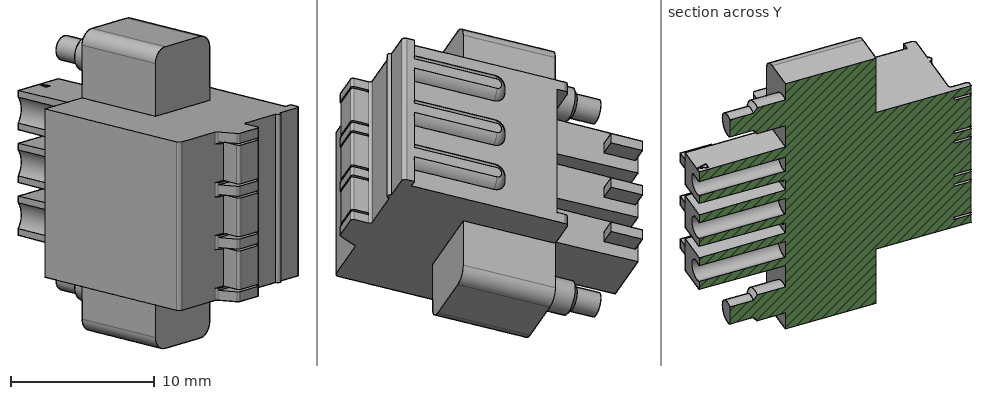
import cadquery as cq
import math


POLES = 3
PITCH = 3.82
CONTACT_Z = [PITCH * (i - (POLES - 1) / 2) for i in range(POLES)]
GAP_Z = [(low + high) / 2 for low, high in zip(CONTACT_Z, CONTACT_Z[1:])]

TOTAL_Z = 21.82
BODY_X = 12.72
BODY_Z = 12.18
BODY_BOTTOM_Y = -6.61
RIM_Y = 5.78
SHOULDER_Y = 5.21
RIM_X = 11.85
EDGE_RADIUS = 0.28

EAR_X = 6.94
EAR_Y = 5.59
EAR_RADIUS = 1.0

PIN_Z = 8.31
PIN_TIP_X = -4.23
PIN_RADIUS = 1.77 / 2
PIN_CONE_X = -2.45
PIN_BASE_RADIUS = 1.25
PIN_BASE_X = -2.14

SLEEVE_X = 6.6
SLEEVE_TOP_Y = 1.92
SLEEVE_BOTTOM_Y = -2.2
SLEEVE_TIP_Z = 2.84
SLEEVE_ROOT_Z = 2.97
GROOVE_RADIUS = 1.6
GROOVE_DEPTH = 0.3
HOLE_RADIUS = 1.6 / 2
HOLE_FLAT_Z = 0.52

TAB_START_X = -6.4
TAB_END_X = -4.01
TAB_TOP_Y = 3.2
TAB_Z = 0.8

RECESS_X = 0.87
RECESS_Z = CONTACT_Z[-1] - CONTACT_Z[0] + SLEEVE_ROOT_Z
ROOT_RADIUS = 0.48

RIDGE_X = 4.75
RIDGE_RADIUS = 1.27
RIDGE_AXIS_Y = 4.58
RIDGE_NOSE_RADIUS = 0.87
RIDGE_OFFSET_Z = 0.26

LEDGE_X = 1.48
LEDGE_TOP_Y = 0.02
LEDGE_FACE_BOTTOM_Y = -2.12
LEDGE_ROOT_Y = -2.84
LEDGE_RADIUS = 0.2
BUTTON_Z = 2.8
BUTTON_BOTTOM_Y = -2.1
BUTTON_MIDDLE_Y = (LEDGE_TOP_Y + BUTTON_BOTTOM_Y) / 2
BUTTON_RADIUS = 0.22
SLOT_WIDTH = 0.15

BEAD_Y = 3.5
BEAD_RADIUS = 0.22

MARK_LENGTH = 0.8
MARK_WIDTH = 0.41
MARK_DEPTH = 0.07
GAP_MARK_Y = 0.79


def box(x0, x1, y0, y1, z_mid, z_size):
    """Box between two X and two Y planes, centred at z_mid."""
    return (
        cq.Workplane("XY")
        .box(x1 - x0, y1 - y0, z_size)
        .translate(((x0 + x1) / 2, (y0 + y1) / 2, z_mid))
    )


def prism(points, z_size):
    """Outline in X and Y, extruded to both sides of Z = 0."""
    return cq.Workplane("XY").polyline(points).close().extrude(z_size / 2, both=True)


def make_body():
    ledge_end_x = BODY_X + LEDGE_X
    body = prism(
        [
            (0, BODY_BOTTOM_Y),
            (BODY_X, BODY_BOTTOM_Y),
            (BODY_X, LEDGE_ROOT_Y),
            (ledge_end_x, LEDGE_FACE_BOTTOM_Y),
            (ledge_end_x, LEDGE_TOP_Y),
            (BODY_X, LEDGE_TOP_Y),
            (BODY_X, RIM_Y),
            (RIM_X, RIM_Y),
            (RIM_X, SHOULDER_Y),
            (0, SHOULDER_Y),
        ],
        BODY_Z,
    )
    outer_corners = [(0, SHOULDER_Y), (BODY_X, RIM_Y), (BODY_X, BODY_BOTTOM_Y)]
    ledge_corners = [
        (BODY_X, LEDGE_ROOT_Y),
        (ledge_end_x, LEDGE_FACE_BOTTOM_Y),
        (ledge_end_x, LEDGE_TOP_Y),
        (BODY_X, LEDGE_TOP_Y),
    ]
    for corners, radius in ((outer_corners, EDGE_RADIUS), (ledge_corners, LEDGE_RADIUS)):
        for x, y in corners:
            body = body.edges(cq.selectors.NearestToPointSelector((x, y, 0))).fillet(radius)
    bead = cq.Workplane("XY").center(BODY_X, BEAD_Y).circle(BEAD_RADIUS).extrude(BODY_Z / 2, both=True)
    return body.union(bead)


def shape_buttons(body):
    """Slot the ledge on both sides of each button and give each button a flat underside."""
    slot_start_x = BODY_X + LEDGE_RADIUS
    slot_end_x = BODY_X + LEDGE_X
    for z in CONTACT_Z:
        for side in (-1, 1):
            slot_z = z + side * (BUTTON_Z + SLOT_WIDTH) / 2
            body = body.cut(box(slot_start_x, slot_end_x, LEDGE_ROOT_Y, LEDGE_TOP_Y, slot_z, SLOT_WIDTH))
        slanted_part = box(BODY_X, slot_end_x, LEDGE_ROOT_Y - LEDGE_RADIUS, BUTTON_MIDDLE_Y, z, BUTTON_Z)
        button = box(BODY_X, slot_end_x, BUTTON_BOTTOM_Y, BUTTON_MIDDLE_Y, z, BUTTON_Z)
        button = button.edges(">X and <Y").fillet(BUTTON_RADIUS)
        body = body.cut(slanted_part).union(button)
    return body


def make_ears():
    ears = box(0, EAR_X, -EAR_Y / 2, EAR_Y / 2, 0, TOTAL_Z)
    return ears.edges("|X").fillet(EAR_RADIUS)


def make_ridge(z):
    """Cylinder along X with a rounded nose, trimmed level with the rim."""
    ridge = (
        cq.Workplane("YZ", origin=(RIDGE_X, RIDGE_AXIS_Y, z))
        .circle(RIDGE_RADIUS)
        .extrude(RIM_X - RIDGE_X)
        .faces("<X")
        .edges()
        .fillet(RIDGE_NOSE_RADIUS)
    )
    return ridge.intersect(box(RIDGE_X, RIM_X, RIDGE_AXIS_Y, RIM_Y, z, 2 * RIDGE_RADIUS))


def make_pin(z):
    return (
        cq.Workplane("XY")
        .polyline(
            [
                (PIN_TIP_X, 0),
                (PIN_TIP_X, PIN_RADIUS),
                (PIN_CONE_X, PIN_RADIUS),
                (PIN_BASE_X, PIN_BASE_RADIUS),
                (0, PIN_BASE_RADIUS),
                (0, 0),
            ]
        )
        .close()
        .revolve(360, (0, 0, 0), (1, 0, 0))
        .translate((0, 0, z))
    )


def make_sleeve(z):
    """Drafted block with a coding tab, a groove underneath and a root fillet in the recess."""
    sleeve = (
        cq.Workplane("XZ", origin=(0, SLEEVE_BOTTOM_Y, 0))
        .polyline(
            [
                (-SLEEVE_X, -SLEEVE_TIP_Z / 2),
                (RECESS_X, -SLEEVE_ROOT_Z / 2),
                (RECESS_X, SLEEVE_ROOT_Z / 2),
                (-SLEEVE_X, SLEEVE_TIP_Z / 2),
            ]
        )
        .close()
        .extrude(SLEEVE_BOTTOM_Y - SLEEVE_TOP_Y)
    )
    groove_axis_y = SLEEVE_BOTTOM_Y + GROOVE_DEPTH - GROOVE_RADIUS
    groove = (
        cq.Workplane("YZ", origin=(-SLEEVE_X, groove_axis_y, 0)).circle(GROOVE_RADIUS).extrude(SLEEVE_X)
    )
    tab = box(TAB_START_X, TAB_END_X, 0, TAB_TOP_Y, 0, TAB_Z)
    root_fillet = (
        cq.Workplane("XY")
        .moveTo(RECESS_X, SLEEVE_TOP_Y)
        .lineTo(RECESS_X, SLEEVE_TOP_Y + ROOT_RADIUS)
        .radiusArc((RECESS_X - ROOT_RADIUS, SLEEVE_TOP_Y), ROOT_RADIUS)
        .close()
        .extrude(SLEEVE_ROOT_Z / 2, both=True)
    )
    hole = cq.Workplane("YZ", origin=(-SLEEVE_X, 0, 0)).circle(HOLE_RADIUS).extrude(SLEEVE_X)
    return sleeve.cut(groove).union(tab).union(root_fillet).cut(hole).translate((0, 0, z))


def make_hole_flat():
    """Filling that gives the last sleeve's hole a flat on its +Z side."""
    filling = cq.Workplane("YZ", origin=(-SLEEVE_X, 0, CONTACT_Z[-1])).circle(HOLE_RADIUS).extrude(SLEEVE_X)
    filling_z = HOLE_RADIUS - HOLE_FLAT_Z
    flat_side = box(
        -SLEEVE_X, 0, -HOLE_RADIUS, HOLE_RADIUS, CONTACT_Z[-1] + HOLE_FLAT_Z + filling_z / 2, filling_z
    )
    return filling.intersect(flat_side)


def make_sleeve_mark():
    """Arrow sunk into the +Z side of the last sleeve, pointing at the sleeve's tip."""
    draft = math.atan((SLEEVE_ROOT_Z - SLEEVE_TIP_Z) / 2 / (SLEEVE_X + RECESS_X))
    return (
        cq.Workplane("XY")
        .polyline([(0, 0), (MARK_LENGTH, MARK_WIDTH / 2), (MARK_LENGTH, -MARK_WIDTH / 2)])
        .close()
        .extrude(MARK_DEPTH, both=True)
        .rotate((0, 0, 0), (0, 1, 0), -math.degrees(draft))
        .translate((-SLEEVE_X, 0, CONTACT_Z[-1] + SLEEVE_TIP_Z / 2))
    )


def make_gap_mark(z):
    """Arrow sunk into the housing face between two sleeves, pointing towards -Y."""
    return (
        cq.Workplane("YZ", origin=(0, GAP_MARK_Y, z))
        .polyline([(-MARK_LENGTH, 0), (0, MARK_WIDTH / 2), (0, -MARK_WIDTH / 2)])
        .close()
        .extrude(MARK_DEPTH)
    )


result = shape_buttons(make_body()).union(make_ears())
result = result.cut(box(0, RECESS_X, SLEEVE_TOP_Y, SHOULDER_Y, 0, RECESS_Z))

for contact_z in CONTACT_Z:
    result = result.union(make_ridge(contact_z + RIDGE_OFFSET_Z))
    result = result.union(make_sleeve(contact_z))

for pin_z in (-PIN_Z, PIN_Z):
    result = result.union(make_pin(pin_z))

result = result.union(make_hole_flat()).cut(make_sleeve_mark())
for gap_z in GAP_Z:
    result = result.cut(make_gap_mark(gap_z))